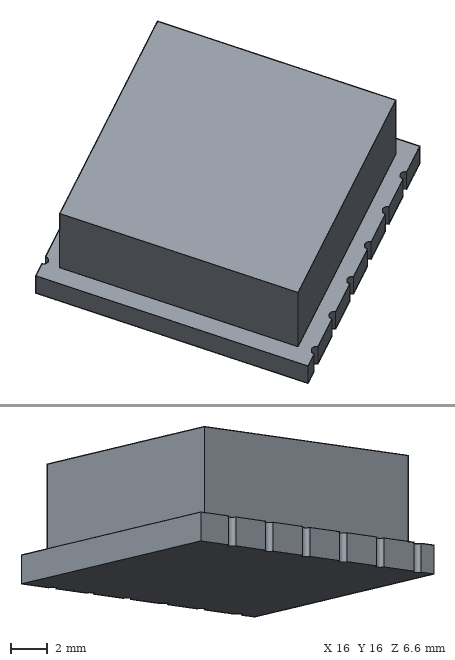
import cadquery as cq

board_side = 16.0
board_thickness = 1.6

total_height = 6.6
can_side = 14.0
can_height = total_height - board_thickness

notch_radius = 0.25
notch_count = 6
notch_pitch = 2.55
notch_row_center_y = -0.5


def make_board():
    return cq.Workplane("XY").box(board_side, board_side, board_thickness, centered=(True, True, False))


def make_can():
    return (
        cq.Workplane("XY")
        .workplane(offset=board_thickness)
        .rect(can_side, can_side)
        .extrude(can_height)
    )


def make_notches():
    """Cylinders on both X edges that cut the half-round notches."""
    return (
        cq.Workplane("XY")
        .center(0, notch_row_center_y)
        .rarray(board_side, notch_pitch, 2, notch_count)
        .circle(notch_radius)
        .extrude(board_thickness)
    )


result = make_board().cut(make_notches()).union(make_can())